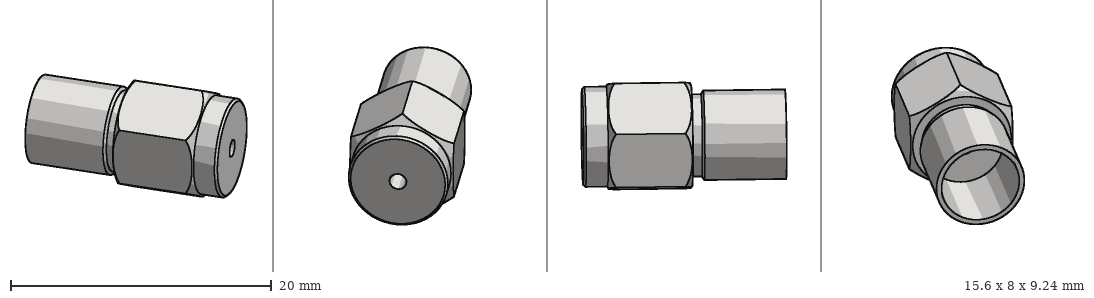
import cadquery as cq
import math

total_length = 15.6

sleeve_radius = 3.45
sleeve_bore_radius = 3.04
sleeve_bevel_start = 6.29
sleeve_end = 6.47

neck_radius = 3.17

nut_start = 7.2
nut_end = 13.73
nut_across_flats = 8.0
nut_corner_radius = nut_across_flats / math.sqrt(3)
nut_chamfer_radius = 3.85
nut_chamfer_length = 0.6
nut_chamfer_bulge = 0.06

collar_radius = 3.85
collar_chamfer = 0.19

centre_hole_radius = 0.65


def cylinder(radius, start, end):
    """Round bar along X between two positions."""
    return cq.Workplane("YZ", origin=(start, 0, 0)).circle(radius).extrude(end - start)


def make_sleeve():
    return (
        cq.Workplane("XY")
        .lineTo(0, sleeve_radius)
        .lineTo(sleeve_bevel_start, sleeve_radius)
        .lineTo(sleeve_end, neck_radius)
        .lineTo(sleeve_end, 0)
        .close()
        .revolve(360, (0, 0, 0), (1, 0, 0))
    )


def make_nut():
    hexagon = (
        cq.Workplane("YZ", origin=(nut_start, 0, 0))
        .transformed(rotate=(0, 0, 90))
        .polygon(6, 2 * nut_corner_radius)
        .extrude(nut_end - nut_start)
    )
    envelope = (
        cq.Workplane("XY")
        .moveTo(nut_start, 0)
        .lineTo(nut_start, nut_chamfer_radius)
        .sagittaArc((nut_start + nut_chamfer_length, nut_corner_radius), nut_chamfer_bulge)
        .lineTo(nut_end - nut_chamfer_length, nut_corner_radius)
        .sagittaArc((nut_end, nut_chamfer_radius), nut_chamfer_bulge)
        .lineTo(nut_end, 0)
        .close()
        .revolve(360, (0, 0, 0), (1, 0, 0))
    )
    return hexagon.intersect(envelope)


def make_collar():
    return cylinder(collar_radius, nut_end, total_length).faces(">X").chamfer(collar_chamfer)


neck = cylinder(neck_radius, sleeve_end, nut_start)
body = make_sleeve().union(neck).union(make_nut()).union(make_collar())

sleeve_bore = cylinder(sleeve_bore_radius, 0, sleeve_bevel_start)
centre_hole = cylinder(centre_hole_radius, 0, total_length)

result = body.cut(sleeve_bore).cut(centre_hole)